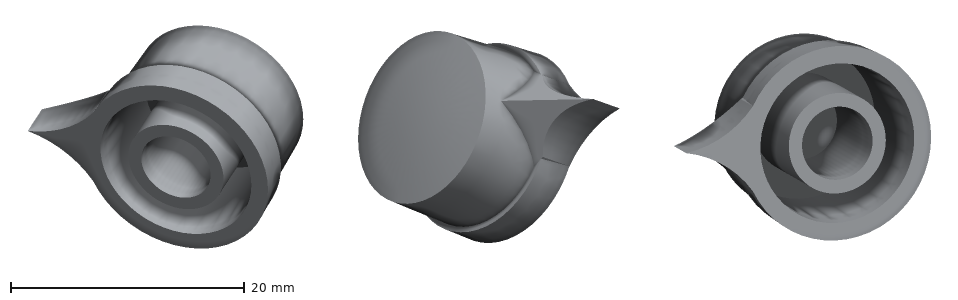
import cadquery as cq
import math

DRAFT = math.tan(math.radians(2))
FLANGE_RADIUS = 8.5
FLANGE_DEPTH = 3.28
BODY_RADIUS = 7.9
BODY_END = 10.3
DOME_TOP = 10.8
BORE_RADIUS = 6.96
BORE_DEPTH = 9.54

BUSHING_RADIUS = 4.4
BUSHING_HOLE_RADIUS = 3.2

TIP_X = FLANGE_RADIUS - 22.18
ROOT_HALF_WIDTH = 3.73
ROOT_X = -math.sqrt(FLANGE_RADIUS**2 - ROOT_HALF_WIDTH**2)
FLANK_SAG = 0.7
POINTER_END_X = -6.2
RIDGE_SLOPE = 0.87

CHORD_SLOPE = ROOT_HALF_WIDTH / (ROOT_X - TIP_X)
POINTER_LENGTH = POINTER_END_X - TIP_X
POINTER_END_HALF_WIDTH = POINTER_LENGTH * CHORD_SLOPE


def make_shell():
    """Drafted flange and body with a shallow spherical end, solid inside."""
    flange_end_radius = FLANGE_RADIUS - FLANGE_DEPTH * DRAFT
    body_end_radius = BODY_RADIUS - (BODY_END - FLANGE_DEPTH) * DRAFT
    dome_height = DOME_TOP - BODY_END
    dome_radius = (body_end_radius**2 + dome_height**2) / (2 * dome_height)
    half_radius = body_end_radius / 2
    half_y = DOME_TOP - dome_radius + math.sqrt(dome_radius**2 - half_radius**2)
    return (
        cq.Workplane("XY")
        .lineTo(FLANGE_RADIUS, 0)
        .lineTo(flange_end_radius, FLANGE_DEPTH)
        .lineTo(BODY_RADIUS, FLANGE_DEPTH)
        .lineTo(body_end_radius, BODY_END)
        .threePointArc((half_radius, half_y), (0, DOME_TOP))
        .close()
        .revolve(360, (0, 0, 0), (0, 1, 0))
    )


def make_pointer_prism(depth):
    """Pointer outline with concave flanks, extruded from the mouth plane."""
    chord_length = math.hypot(ROOT_X - TIP_X, ROOT_HALF_WIDTH)
    middle_x = (TIP_X + ROOT_X) / 2 + FLANK_SAG * ROOT_HALF_WIDTH / chord_length
    middle_z = ROOT_HALF_WIDTH / 2 - FLANK_SAG * (ROOT_X - TIP_X) / chord_length
    return (
        cq.Workplane("XZ")
        .moveTo(TIP_X, 0)
        .threePointArc((middle_x, middle_z), (ROOT_X, ROOT_HALF_WIDTH))
        .lineTo(POINTER_END_X, POINTER_END_HALF_WIDTH)
        .lineTo(POINTER_END_X, -POINTER_END_HALF_WIDTH)
        .lineTo(ROOT_X, -ROOT_HALF_WIDTH)
        .threePointArc((middle_x, -middle_z), (TIP_X, 0))
        .close()
        .extrude(-depth)
    )


def make_roof_pyramid():
    """Two planes rising from the tip to a central ridge, above the flange."""
    tip = (TIP_X, FLANGE_DEPTH, 0)
    upper = (POINTER_END_X, FLANGE_DEPTH, POINTER_END_HALF_WIDTH)
    lower = (POINTER_END_X, FLANGE_DEPTH, -POINTER_END_HALF_WIDTH)
    ridge_end = (POINTER_END_X, FLANGE_DEPTH + POINTER_LENGTH * RIDGE_SLOPE, 0)
    triangles = [
        (tip, upper, lower),
        (tip, ridge_end, upper),
        (tip, lower, ridge_end),
        (upper, ridge_end, lower),
    ]
    faces = [
        cq.Face.makeFromWires(cq.Wire.makePolygon([cq.Vector(*p) for p in corners], close=True))
        for corners in triangles
    ]
    return cq.Workplane(cq.Solid.makeSolid(cq.Shell.makeShell(faces)))


def make_bore():
    """Drafted blind bore, narrowing towards its flat floor."""
    return (
        cq.Workplane("XY")
        .lineTo(BORE_RADIUS, 0)
        .lineTo(BORE_RADIUS - BORE_DEPTH * DRAFT, BORE_DEPTH)
        .lineTo(0, BORE_DEPTH)
        .close()
        .revolve(360, (0, 0, 0), (0, 1, 0))
    )


def make_knob():
    """Hollow knob with its pointer."""
    pointer_base = make_pointer_prism(FLANGE_DEPTH)
    pointer_roof = make_pointer_prism(DOME_TOP).intersect(make_roof_pyramid())
    return make_shell().union(pointer_base).union(pointer_roof).cut(make_bore())


def make_bushing():
    """Plain tube standing on the bore floor, flush with the mouth."""
    return (
        cq.Workplane("XZ")
        .circle(BUSHING_RADIUS)
        .circle(BUSHING_HOLE_RADIUS)
        .extrude(-BORE_DEPTH)
    )


knob = make_knob()
bushing = make_bushing()
result = cq.Compound.makeCompound([*knob.solids().vals(), *bushing.solids().vals()])